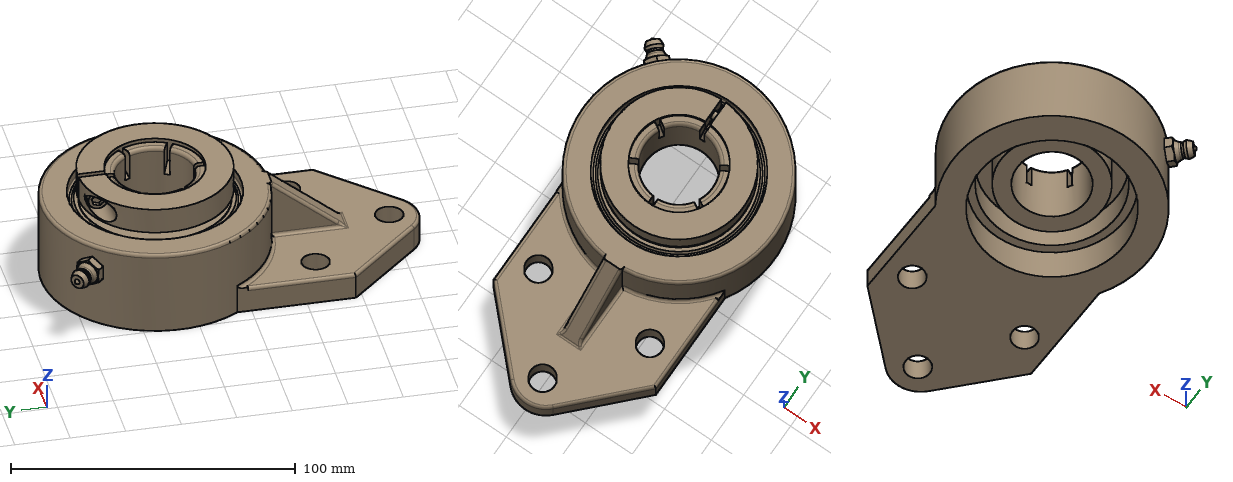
import cadquery as cq
import math


OVERALL_LENGTH = 136

HOUSING_RADIUS = 82.0 / 2
HOUSING_HEIGHT = 32.0
EDGE_ROUND = 1.2
MOUTH_RADIUS = 62.0 / 2
MOUTH_ROUND = 0.8
SEAT_EDGE_RADIUS = MOUTH_RADIUS - MOUTH_ROUND
SEAT_HALF_WIDTH = math.sqrt(MOUTH_RADIUS**2 - SEAT_EDGE_RADIUS**2)
SEAT_TOP = 28.3
SEAT_CENTRE = SEAT_TOP - SEAT_HALF_WIDTH
SEAT_BOTTOM = SEAT_CENTRE - SEAT_HALF_WIDTH

FOOT_HALF_WIDTH = 34.7
FOOT_HEIGHT = 9.9
FOOT_CORNER_Y = -64.6
FOOT_TIP_Y = HOUSING_RADIUS - OVERALL_LENGTH
FOOT_TIP_RADIUS = 12.6
BOLT_HOLE_DIAMETER = 10.0
BOLT_HOLES = [(-23.8, -52.5), (23.8, -52.5), (0, -84.3)]
RIB_WIDTH = 7.9
RIB_TOP_Y = -41.2
RIB_END_Y = -68.0
RIB_SLOPE = (HOUSING_HEIGHT - FOOT_HEIGHT) / (RIB_TOP_Y - RIB_END_Y)
RIB_BASE_Y = RIB_END_Y - FOOT_HEIGHT / RIB_SLOPE
RIB_ROOT_Y = -HOUSING_RADIUS + 2 * EDGE_ROUND

BORE_RADIUS = 28.5 / 2
SHOULDER_RADIUS = 42.0 / 2
SLEEVE_RADIUS = 35.6 / 2
SLEEVE_TOP = 40.8
SLEEVE_ROUND = 1.5
SLOT_COUNT = 6
SLOT_WIDTH = 2.0
SLOT_BOTTOM = 29.9

RIM_HEIGHT = 0.8
RIM_FOOT_RADIUS = 29.4
RIM_TOP_RADIUS = RIM_FOOT_RADIUS - RIM_HEIGHT
RIM_TOP = SEAT_TOP + RIM_HEIGHT
SEAL_RADIUS = 54.0 / 2
SEAL_THICKNESS = 2.7
SEAL_TOP = RIM_TOP - 0.4

COLLAR_RADIUS = 55.3 / 2
COLLAR_TOP = 42.3
COLLAR_BOTTOM = 32.6
SCREW_Y = 22.6
SCREW_Z = (COLLAR_TOP + COLLAR_BOTTOM) / 2
COUNTERBORE_DIAMETER = 8.3
COUNTERBORE_FLOOR_X = -6.1
SCREW_HEAD_DIAMETER = 7.0
SCREW_HEAD_HEIGHT = 3.4
SCREW_DIAMETER = 3.3
SCREW_LENGTH = 17.0
SOCKET_ACROSS_CORNERS = 4.8
SOCKET_DEPTH = 1.6
SOCKET_TURN = 13

NIPPLE_Z = 22.0
NIPPLE_DIRECTION = cq.Vector(-1, 1, 0).normalized()
NIPPLE_HEX_WIDTH = 9.0
NIPPLE_HEX_HEIGHT = 3.1
NIPPLE_HEX_TRIM_ANGLE = 30
NIPPLE_STEM_DIAMETER = 6.0
NIPPLE_STEM_DEPTH = 5.5
NIPPLE_NECK_DIAMETER = 5.2
NIPPLE_HEAD_DIAMETER = 7.0
NIPPLE_BALL_RADIUS = 1.0
NIPPLE_BULGE_RADIUS = 3.1
NIPPLE_TIP_RADIUS = 2.6
NIPPLE_SHOULDER_RADIUS = 8.3 / 2
NIPPLE_COLLAR_RADIUS = 3.3
NIPPLE_COLLAR_HEIGHT = 4.8
NIPPLE_NECK_BOTTOM = 5.6
NIPPLE_NECK_TOP = 6.4
NIPPLE_HEAD_HEIGHT = 7.6
NIPPLE_TIP_HEIGHT = 9.8


def ring(outer_radius, inner_radius, bottom, top):
    """A plain ring around Z."""
    return (
        cq.Workplane("XY", origin=(0, 0, bottom))
        .circle(outer_radius)
        .circle(inner_radius)
        .extrude(top - bottom)
    )


def nipple_plane(distance):
    """A plane across the nipple's axis, at a distance from the bearing axis."""
    origin = NIPPLE_DIRECTION * distance + cq.Vector(0, 0, NIPPLE_Z)
    return cq.Plane(origin=origin, xDir=(0, 0, 1), normal=NIPPLE_DIRECTION)


def screw_rod(diameter, start_x, length):
    """A cylinder along the collar screw's axis, toward +X."""
    plane = cq.Plane(origin=(start_x, SCREW_Y, SCREW_Z), xDir=(0, 1, 0), normal=(1, 0, 0))
    return cq.Workplane(plane).circle(diameter / 2).extrude(length)


def make_foot(start_y):
    """Plate from start_y outward that tapers at equal angles to a rounded tip tangent to both tapers."""
    tip_centre_y = FOOT_TIP_Y + FOOT_TIP_RADIUS
    rise = FOOT_CORNER_Y - tip_centre_y
    corner_distance = math.hypot(FOOT_HALF_WIDTH, rise)
    tangent_angle = math.atan2(rise, FOOT_HALF_WIDTH) - math.acos(FOOT_TIP_RADIUS / corner_distance)
    tangent_x = FOOT_TIP_RADIUS * math.cos(tangent_angle)
    tangent_y = tip_centre_y + FOOT_TIP_RADIUS * math.sin(tangent_angle)
    return (
        cq.Workplane("XY")
        .moveTo(-FOOT_HALF_WIDTH, start_y)
        .lineTo(-FOOT_HALF_WIDTH, FOOT_CORNER_Y)
        .lineTo(-tangent_x, tangent_y)
        .threePointArc((0, FOOT_TIP_Y), (tangent_x, tangent_y))
        .lineTo(FOOT_HALF_WIDTH, FOOT_CORNER_Y)
        .lineTo(FOOT_HALF_WIDTH, start_y)
        .close()
        .extrude(FOOT_HEIGHT)
    )


def make_foot_edge_waste():
    """Material outside the round along the foot's top edge, up to the concave round of the barrel."""
    start_y = -math.sqrt((HOUSING_RADIUS + EDGE_ROUND) ** 2 - (FOOT_HALF_WIDTH - EDGE_ROUND) ** 2)
    sharp_foot = make_foot(start_y)
    rounded_foot = sharp_foot.faces(">Z").edges("not >Y").fillet(EDGE_ROUND)
    return sharp_foot.cut(rounded_foot)


def make_rib():
    """Sharp wedge sloping down to the foot, drawn high enough to stand above the housing."""
    root_height = RIB_SLOPE * (RIB_ROOT_Y - RIB_BASE_Y)
    return (
        cq.Workplane("YZ")
        .polyline([(RIB_ROOT_Y, 0), (RIB_BASE_Y, 0), (RIB_ROOT_Y, root_height)])
        .close()
        .extrude(RIB_WIDTH / 2, both=True)
    )


def make_housing_body():
    """Barrel, foot and rib with all their rounds."""
    barrel = cq.Workplane("XY").circle(HOUSING_RADIUS).extrude(HOUSING_HEIGHT)
    body = barrel.faces(">Z").edges().fillet(EDGE_ROUND).union(make_foot(0)).union(make_rib())

    inside_x = FOOT_HALF_WIDTH - EDGE_ROUND
    standing_edges = cq.selectors.BoxSelector(
        (-inside_x, RIB_END_Y - EDGE_ROUND, FOOT_HEIGHT - EDGE_ROUND / 2),
        (inside_x, 0, FOOT_HEIGHT + EDGE_ROUND / 2),
    )
    body = body.edges(standing_edges).fillet(EDGE_ROUND)

    rib_edges = cq.selectors.ParallelDirSelector(cq.Vector(0, 1, RIB_SLOPE))
    body = body.edges(rib_edges).fillet(EDGE_ROUND)
    excess = (
        cq.Workplane("XY", origin=(0, 0, HOUSING_HEIGHT))
        .circle(HOUSING_RADIUS + EDGE_ROUND)
        .extrude(HOUSING_HEIGHT)
    )
    return body.cut(excess).cut(make_foot_edge_waste())


def make_bearing_cavity():
    """Mouth with a rounded floor, ball-shaped seat, and plain bore down to the mounting face."""
    corner_reach = MOUTH_ROUND * (1 - math.sqrt(0.5))
    return (
        cq.Workplane("XZ")
        .moveTo(0, 0)
        .lineTo(SEAT_EDGE_RADIUS, 0)
        .lineTo(SEAT_EDGE_RADIUS, SEAT_BOTTOM)
        .threePointArc((MOUTH_RADIUS, SEAT_CENTRE), (SEAT_EDGE_RADIUS, SEAT_TOP))
        .threePointArc(
            (MOUTH_RADIUS - corner_reach, SEAT_TOP + corner_reach),
            (MOUTH_RADIUS, SEAT_TOP + MOUTH_ROUND),
        )
        .lineTo(MOUTH_RADIUS, HOUSING_HEIGHT)
        .lineTo(0, HOUSING_HEIGHT)
        .close()
        .revolve(360, (0, 0), (0, 1))
    )


def make_housing():
    bolt_holes = (
        cq.Workplane("XY").pushPoints(BOLT_HOLES).circle(BOLT_HOLE_DIAMETER / 2).extrude(FOOT_HEIGHT)
    )
    nipple_hole = (
        cq.Workplane(nipple_plane(HOUSING_RADIUS - NIPPLE_STEM_DEPTH))
        .circle(NIPPLE_STEM_DIAMETER / 2)
        .extrude(NIPPLE_STEM_DEPTH)
    )
    return make_housing_body().cut(make_bearing_cavity()).cut(bolt_holes).cut(nipple_hole)


def make_outer_ring():
    """Ball-shaped outside, straight bore, and a raised rim with a 45-degree flank on top."""
    return (
        cq.Workplane("XZ")
        .moveTo(SEAL_RADIUS, SEAT_BOTTOM)
        .lineTo(SEAT_EDGE_RADIUS, SEAT_BOTTOM)
        .threePointArc((MOUTH_RADIUS, SEAT_CENTRE), (SEAT_EDGE_RADIUS, SEAT_TOP))
        .lineTo(RIM_FOOT_RADIUS, SEAT_TOP)
        .lineTo(RIM_TOP_RADIUS, RIM_TOP)
        .lineTo(SEAL_RADIUS, RIM_TOP)
        .close()
        .revolve(360, (0, 0), (0, 1))
    )


def make_seal():
    return ring(SEAL_RADIUS, SHOULDER_RADIUS, SEAL_TOP - SEAL_THICKNESS, SEAL_TOP)


def make_inner_ring():
    """Shouldered ring whose sleeve is split into fingers by slots open at the top."""
    shoulder = ring(SHOULDER_RADIUS, BORE_RADIUS, SEAT_BOTTOM, COLLAR_BOTTOM)
    sleeve = ring(SLEEVE_RADIUS, BORE_RADIUS, COLLAR_BOTTOM, SLEEVE_TOP)
    body = shoulder.union(sleeve).faces(">Z").edges("%CIRCLE").edges(cq.selectors.RadiusNthSelector(0))
    body = body.fillet(SLEEVE_ROUND)

    slot_floor_rise = SLEEVE_RADIUS - BORE_RADIUS
    slot = (
        cq.Workplane("YZ")
        .polyline(
            [
                (0, SLOT_BOTTOM),
                (BORE_RADIUS, SLOT_BOTTOM),
                (SLEEVE_RADIUS, SLOT_BOTTOM + slot_floor_rise),
                (SLEEVE_RADIUS, SLEEVE_TOP),
                (0, SLEEVE_TOP),
            ]
        )
        .close()
        .extrude(SLOT_WIDTH / 2, both=True)
    )
    for index in range(SLOT_COUNT):
        body = body.cut(slot.rotate((0, 0, 0), (0, 0, 1), index * 360 / SLOT_COUNT))
    return body


def make_collar():
    """Ring split on its +Y side, with a counterbored hole for the screw across the split."""
    split = (
        cq.Workplane("XY", origin=(0, COLLAR_RADIUS / 2, COLLAR_BOTTOM))
        .rect(SLOT_WIDTH, COLLAR_RADIUS)
        .extrude(COLLAR_TOP - COLLAR_BOTTOM)
    )
    counterbore = screw_rod(COUNTERBORE_DIAMETER, COUNTERBORE_FLOOR_X, -COLLAR_RADIUS)
    screw_hole = screw_rod(SCREW_DIAMETER, COUNTERBORE_FLOOR_X, SCREW_LENGTH)
    body = ring(COLLAR_RADIUS, SLEEVE_RADIUS, COLLAR_BOTTOM, COLLAR_TOP)
    return body.cut(split).cut(counterbore).cut(screw_hole)


def make_screw():
    """Socket-head screw with its head toward -X."""
    head_face_x = COUNTERBORE_FLOOR_X - SCREW_HEAD_HEIGHT
    shank = screw_rod(SCREW_DIAMETER, COUNTERBORE_FLOOR_X, SCREW_LENGTH)
    head = screw_rod(SCREW_HEAD_DIAMETER, head_face_x, SCREW_HEAD_HEIGHT)
    socket = (
        cq.Workplane(cq.Plane(origin=(head_face_x, SCREW_Y, SCREW_Z), xDir=(0, 1, 0), normal=(1, 0, 0)))
        .transformed(rotate=(0, 0, SOCKET_TURN))
        .polygon(6, SOCKET_ACROSS_CORNERS)
        .extrude(SOCKET_DEPTH)
    )
    return head.union(shank).cut(socket)


def make_nipple():
    """Stem in the housing, hexagon, then a waisted round head that ends in a small ball."""
    stem_radius = NIPPLE_STEM_DIAMETER / 2
    neck_radius = NIPPLE_NECK_DIAMETER / 2
    head_radius = NIPPLE_HEAD_DIAMETER / 2
    seat = cq.Workplane(nipple_plane(HOUSING_RADIUS))
    stem = seat.circle(stem_radius).extrude(-NIPPLE_STEM_DEPTH)
    across_corners = NIPPLE_HEX_WIDTH / math.cos(math.radians(30))
    hexagon = seat.polygon(6, across_corners).extrude(NIPPLE_HEX_HEIGHT)
    corner_depth = (across_corners - NIPPLE_HEX_WIDTH) / 2
    corner_trim = (
        seat.circle(across_corners / 2)
        .extrude(NIPPLE_HEX_HEIGHT)
        .faces(cq.selectors.DirectionMinMaxSelector(NIPPLE_DIRECTION, True))
        .chamfer(corner_depth * math.tan(math.radians(NIPPLE_HEX_TRIM_ANGLE)), corner_depth)
    )
    hexagon = hexagon.intersect(corner_trim)
    head = (
        cq.Workplane("XZ")
        .polyline(
            [
                (0, NIPPLE_TIP_HEIGHT),
                (0, NIPPLE_HEX_HEIGHT),
                (NIPPLE_SHOULDER_RADIUS, NIPPLE_HEX_HEIGHT),
                (NIPPLE_COLLAR_RADIUS, NIPPLE_COLLAR_HEIGHT),
                (stem_radius, NIPPLE_NECK_BOTTOM),
                (neck_radius, NIPPLE_NECK_BOTTOM),
                (neck_radius, NIPPLE_NECK_TOP),
                (stem_radius, NIPPLE_NECK_TOP),
                (head_radius, NIPPLE_HEAD_HEIGHT),
            ]
        )
        .threePointArc(
            (NIPPLE_BULGE_RADIUS, (NIPPLE_HEAD_HEIGHT + NIPPLE_TIP_HEIGHT) / 2),
            (NIPPLE_TIP_RADIUS, NIPPLE_TIP_HEIGHT),
        )
        .close()
        .revolve(360, (0, 0), (0, 1))
    )
    ball = cq.Workplane("XY").sphere(NIPPLE_BALL_RADIUS).translate((0, 0, NIPPLE_TIP_HEIGHT))
    head = head.union(ball)
    placed_head = cq.Workplane(head.val().moved(cq.Location(nipple_plane(HOUSING_RADIUS))))
    return stem.union(hexagon).union(placed_head)


housing = make_housing()
outer_ring = make_outer_ring()
seal = make_seal()
inner_ring = make_inner_ring()
collar = make_collar()
screw = make_screw()
nipple = make_nipple()

result = cq.Compound.makeCompound(
    [
        housing.val(),
        outer_ring.val(),
        seal.val(),
        inner_ring.val(),
        collar.val(),
        screw.val(),
        nipple.val(),
    ]
)